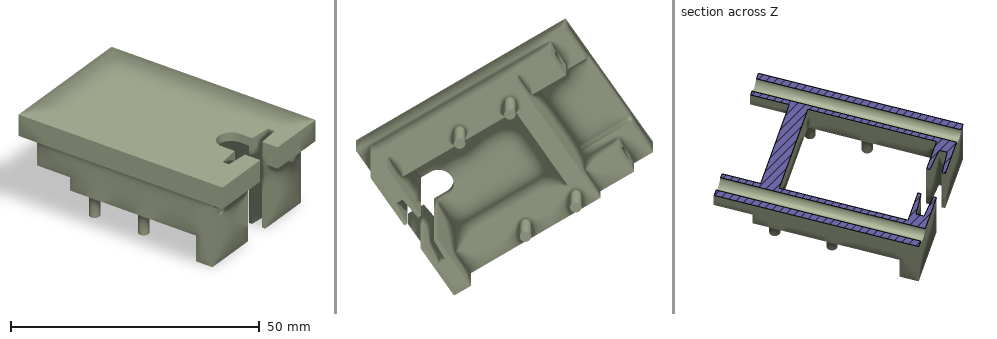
import cadquery as cq

plate_length = 50
plate_width = 32.5
plate_thickness = 5
total_height = 20
plate_bottom = total_height - plate_thickness

body_start = 4
body_end = 47
body_width = 31
body_bottom = 6
lug_end = 12.1
lug_width = 5.6
lug_bottom = 9.1
leg_thickness = 4

cavity_width = body_width - 2 * lug_width
cavity_ceiling = 18
front_wall = 4

recess_width = 17
recess_ceiling = 17
recess_corner_radius = 0.75

slot_width = 6.1
slot_start = 37.7
leg_gap = 6
notch_center = 45
notch_root_width = 2.5
notch_tip_width = 1.6
notch_span = 16

hole_diameter = 3
hole_spacing = 25
hole_height = 12.5
pin_diameter = 2.3
pin_spacing = 24.5
pin_positions = (15.85, 27.85)


def block(x_start, x_end, width, z_bottom, z_top):
    """Box centred on Y = 0."""
    return cq.Workplane("XY").box(
        x_end - x_start, width, z_top - z_bottom, centered=(False, True, False)
    ).translate((x_start, 0, z_bottom))


def make_body():
    leg_start = body_end - leg_thickness
    profile = [
        (body_start, plate_bottom),
        (body_start, lug_bottom),
        (lug_end, lug_bottom),
        (lug_end, body_bottom),
        (leg_start, body_bottom),
        (leg_start, 0),
        (body_end, 0),
        (body_end, plate_bottom),
    ]
    body = cq.Workplane("XZ").polyline(profile).close().extrude(body_width / 2, both=True)
    between_lugs = block(body_start, lug_end, cavity_width, lug_bottom, plate_bottom)
    return body.cut(between_lugs)


def make_recess():
    return (
        block(0, lug_end, recess_width, plate_bottom, recess_ceiling)
        .edges("|X and >Z")
        .fillet(recess_corner_radius)
    )


def make_cavity():
    return block(
        lug_end + front_wall, body_end - leg_thickness, cavity_width, body_bottom, cavity_ceiling
    )


def make_plate_slot():
    radius = slot_width / 2
    round_center = slot_start + radius
    round_end = cq.Workplane("XY").center(round_center, 0).circle(radius).extrude(total_height)
    straight = block(round_center, plate_length, slot_width, plate_bottom, total_height)
    leg_slot = block(body_end - leg_thickness, body_end, leg_gap, 0, plate_bottom)
    return round_end.union(straight).union(leg_slot)


def make_notches():
    """Tapered side notches, widest where they meet the slot."""
    root = notch_root_width / 2
    tip = notch_tip_width / 2
    root_y = leg_gap / 2
    tip_y = notch_span / 2
    outline = [
        (-root, -root_y),
        (-tip, -tip_y),
        (tip, -tip_y),
        (root, -root_y),
        (root, root_y),
        (tip, tip_y),
        (-tip, tip_y),
        (-root, root_y),
    ]
    return cq.Workplane("XY").center(notch_center, 0).polyline(outline).close().extrude(total_height)


def make_side_holes():
    centers = [(side * hole_spacing / 2, hole_height) for side in (-1, 1)]
    return cq.Workplane("YZ").pushPoints(centers).circle(hole_diameter / 2).extrude(plate_length)


def make_pins():
    centers = [(x, side * pin_spacing / 2) for x in pin_positions for side in (-1, 1)]
    return cq.Workplane("XY").pushPoints(centers).circle(pin_diameter / 2).extrude(body_bottom)


plate = block(0, plate_length, plate_width, plate_bottom, total_height)
result = plate.union(make_body())
for cutter in (make_recess(), make_cavity(), make_plate_slot(), make_notches(), make_side_holes()):
    result = result.cut(cutter)
result = result.union(make_pins())